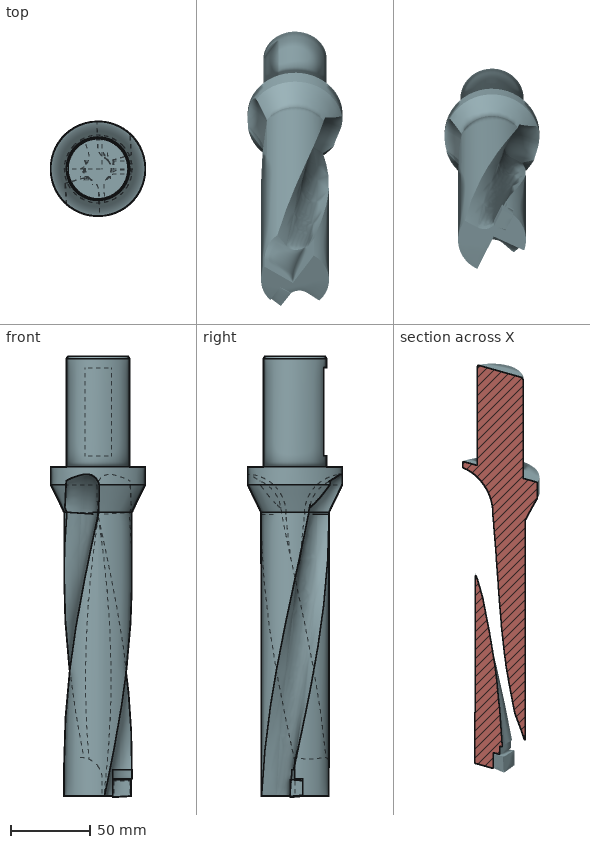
import cadquery as cq
import math


full_turn = 360.0

shank_diameter = 40.0
shank_length = 70.0
shank_chamfer_height = 1.5
shank_chamfer_width = 1.0
flat_depth = 1.8
flat_end_margin = 7.2

flange_diameter = 60.0
flange_thickness = 11.2
cone_height = 17.5
body_diameter = 43.0
overall_length = 278.9
insert_protrusion = 0.7
body_bottom = shank_length - overall_length + insert_protrusion
cone_bottom = -flange_thickness - cone_height

flute_count = 2
flute_tangent_distance = 14.1
flute_floor_radius = 8.45
flute_wall_angle = 75.0
flute_steep_wall_length = 11.0
flute_start_angle = 168.0
flute_twist_per_mm = 0.575

runout_axis_radius = 31.0
runout_start_z = -30.0
runout_side_angle = 2.0
runout_tilt = -4.0
helix_overrun = 1.4
flute_helix_length = runout_start_z + helix_overrun - body_bottom

central_pocket_wall_x = 2.5
central_pocket_wall_height = 11.0
central_pocket_round = 13.7

peripheral_pocket_x = 9.2
insert_width = 11.6
insert_height = 10.5
insert_face_y = -3.0
insert_relief_angle = 5.0
insert_seat_clearance = 0.5
insert_seat_back_y = 5.0
chip_relief_height = 16.7
chip_relief_back_y = 0.0


def polar(radius, angle):
    radians = math.radians(angle)
    return (radius * math.cos(radians), radius * math.sin(radians))


def shifted(point, length, angle):
    step = polar(length, angle)
    return (point[0] + step[0], point[1] + step[1])


def make_blank():
    shank_radius = shank_diameter / 2
    outline = [
        (0, body_bottom),
        (body_diameter / 2, body_bottom),
        (body_diameter / 2, cone_bottom),
        (flange_diameter / 2, -flange_thickness),
        (flange_diameter / 2, 0),
        (shank_radius, 0),
        (shank_radius, shank_length - shank_chamfer_height),
        (shank_radius - shank_chamfer_width, shank_length),
        (0, shank_length),
    ]
    return cq.Workplane("XZ").polyline(outline).close().revolve(full_turn, (0, 0), (0, 1))


def make_shank_flat():
    flat_length = shank_length - 2 * flat_end_margin
    return (
        cq.Workplane("XY", origin=(0, shank_diameter / 2 - flat_depth, flat_end_margin))
        .box(shank_diameter, shank_diameter, flat_length, centered=(True, False, False))
    )


def flute_section(radial_wall_angle, outward_angle, z):
    """Closed horizontal flute section at height z, closed by a line square to the outward angle."""
    steep_wall_angle = radial_wall_angle - flute_wall_angle
    radial_wall_start = polar(flute_tangent_distance, radial_wall_angle)

    def distance_to_axis(point):
        outward = polar(1, outward_angle)
        return runout_axis_radius - point[0] * outward[0] - point[1] * outward[1]

    radial_wall_length = distance_to_axis(radial_wall_start) / math.cos(
        math.radians(radial_wall_angle - outward_angle)
    )
    steep_normal_angle = steep_wall_angle - 90
    floor_centre = shifted(radial_wall_start, flute_floor_radius, radial_wall_angle - 90)
    steep_wall_start = shifted(floor_centre, flute_floor_radius, steep_normal_angle)
    steep_wall_end = shifted(steep_wall_start, flute_steep_wall_length, steep_wall_angle)
    floor_middle_angle = (radial_wall_angle + 90 + steep_normal_angle + full_turn) / 2
    floor_middle = shifted(floor_centre, flute_floor_radius, floor_middle_angle)
    return (
        cq.Workplane("XY", origin=(0, 0, z))
        .moveTo(*shifted(radial_wall_start, radial_wall_length, radial_wall_angle))
        .lineTo(*radial_wall_start)
        .threePointArc(floor_middle, steep_wall_start)
        .lineTo(*steep_wall_end)
        .lineTo(*shifted(steep_wall_end, distance_to_axis(steep_wall_end), outward_angle))
        .close()
    )


def make_flute_helix():
    middle_angle = flute_start_angle - flute_wall_angle / 2
    section = flute_section(flute_start_angle, middle_angle, body_bottom)
    return section.twistExtrude(flute_helix_length, flute_twist_per_mm * flute_helix_length)


def make_flute_runout():
    """Flute section turned a quarter circle about a crosswise axis outside the flange."""
    end_angle = flute_start_angle + flute_twist_per_mm * (runout_start_z - body_bottom)
    return (
        flute_section(runout_side_angle, 0, 0)
        .revolve(full_turn / 4, (runout_axis_radius, 0), (runout_axis_radius, 1))
        .rotate((0, 0, 0), (1, 0, 0), runout_tilt)
        .rotate((0, 0, 0), (0, 0, 1), end_angle - runout_side_angle)
        .translate((0, 0, runout_start_z))
    )


def make_central_pocket():
    outer_x = -flange_diameter / 2
    wall_top = body_bottom + central_pocket_wall_height
    round_x = central_pocket_wall_x - central_pocket_round
    diagonal = central_pocket_round * math.sqrt(0.5)
    return (
        cq.Workplane("XZ")
        .moveTo(outer_x, body_bottom)
        .lineTo(central_pocket_wall_x, body_bottom)
        .lineTo(central_pocket_wall_x, wall_top)
        .threePointArc(
            (round_x + diagonal, wall_top + diagonal),
            (round_x, wall_top + central_pocket_round),
        )
        .lineTo(outer_x, wall_top + central_pocket_round)
        .close()
        .extrude(-body_diameter)
    )


def make_peripheral_pocket(height, back_y):
    return (
        cq.Workplane("XY", origin=(peripheral_pocket_x, back_y - body_diameter, body_bottom))
        .box(body_diameter, body_diameter, height, centered=False)
    )


def make_insert():
    """Square insert whose inner bottom corner is the lowest point of the drill."""
    outer_x = peripheral_pocket_x + insert_width
    top = body_bottom + insert_height
    outline = [
        (peripheral_pocket_x, body_bottom - insert_protrusion),
        (outer_x, body_bottom),
        (outer_x, top),
        (peripheral_pocket_x, top),
    ]
    thickness = insert_seat_back_y - insert_face_y
    return (
        cq.Workplane("ZX", origin=(0, insert_face_y, 0))
        .polyline([(z, x) for x, z in outline])
        .close()
        .extrude(thickness, taper=insert_relief_angle)
    )


result = make_blank().cut(make_shank_flat())
for index in range(flute_count):
    for cutter in (make_flute_helix(), make_flute_runout()):
        result = result.cut(cutter.rotate((0, 0, 0), (0, 0, 1), index * full_turn / flute_count))
result = result.cut(make_central_pocket())
result = result.cut(make_peripheral_pocket(chip_relief_height, chip_relief_back_y))
result = result.cut(make_peripheral_pocket(insert_height + insert_seat_clearance, insert_seat_back_y))
result = result.union(make_insert())